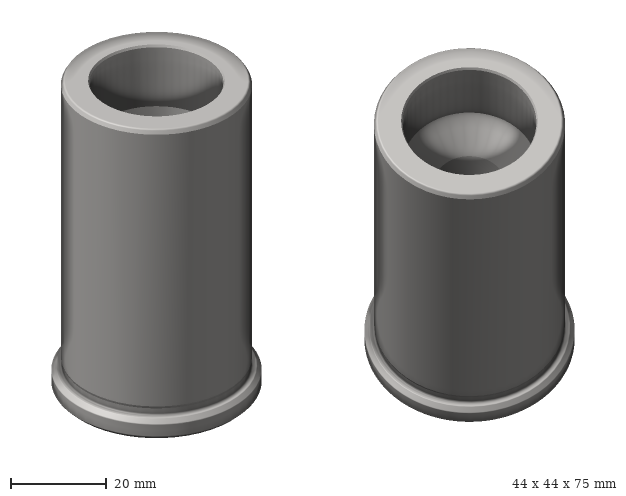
import cadquery as cq
import math

total_height = 75.0
body_radius = 40.0 / 2

flange_radius = 44.0 / 2
flange_height = 5.0
flange_chamfer = 1.0
flange_rounding = 0.3

lead_in_height = 1.0
lead_in_angle = math.radians(30)
lead_in_rounding = 0.5

undercut_radius = 39.7 / 2
undercut_fillet = 0.4
undercut_top = 7.2
undercut_taper_angle = math.radians(15)

bore_radius = 28.0 / 2
bore_depth = 15.0
bore_chamfer_width = 0.3
bore_chamfer_angle = math.radians(30)
bore_chamfer_height = bore_chamfer_width / math.tan(bore_chamfer_angle)
throat_radius = 15.0 / 2
hole_radius = 8.0 / 2
upper_cone_slope = math.radians(45)
lower_cone_slope = math.radians(60)


def make_flange():
    """Disc with bevelled rims whose two bevel corners are rounded."""
    blank = (
        cq.Workplane("XZ")
        .moveTo(0, 0)
        .lineTo(flange_radius - flange_chamfer, 0)
        .lineTo(flange_radius, flange_chamfer)
        .lineTo(flange_radius, flange_height - flange_chamfer)
        .lineTo(flange_radius - flange_chamfer, flange_height)
        .lineTo(0, flange_height)
        .close()
        .revolve(360, (0, 0), (0, 1))
    )
    return blank.edges("%CIRCLE").fillet(flange_rounding)


def make_body():
    """Cylinder with the undercut above the flange and the lead-in at the top."""
    taper_height = (body_radius - undercut_radius) / math.tan(undercut_taper_angle)
    lead_in_tip_radius = body_radius - lead_in_height * math.tan(lead_in_angle)
    fillet_sag = undercut_fillet * (1 - math.sqrt(0.5))
    blank = (
        cq.Workplane("XZ")
        .moveTo(0, flange_height)
        .lineTo(undercut_radius + undercut_fillet, flange_height)
        .threePointArc(
            (undercut_radius + fillet_sag, flange_height + fillet_sag),
            (undercut_radius, flange_height + undercut_fillet),
        )
        .lineTo(undercut_radius, undercut_top - taper_height)
        .lineTo(body_radius, undercut_top)
        .lineTo(body_radius, total_height - lead_in_height)
        .lineTo(lead_in_tip_radius, total_height)
        .lineTo(0, total_height)
        .close()
        .revolve(360, (0, 0), (0, 1))
    )
    return blank.faces(">Z").edges().fillet(lead_in_rounding)


def make_bore():
    """Volume removed along the axis, from the through hole up to the open end."""
    bore_floor = total_height - bore_depth
    throat_height = bore_floor - (bore_radius - throat_radius) * math.tan(upper_cone_slope)
    hole_top = throat_height - (throat_radius - hole_radius) * math.tan(lower_cone_slope)
    return (
        cq.Workplane("XZ")
        .moveTo(0, 0)
        .lineTo(hole_radius, 0)
        .lineTo(hole_radius, hole_top)
        .lineTo(throat_radius, throat_height)
        .lineTo(bore_radius, bore_floor)
        .lineTo(bore_radius, total_height - bore_chamfer_height)
        .lineTo(bore_radius + bore_chamfer_width, total_height)
        .lineTo(0, total_height)
        .close()
        .revolve(360, (0, 0), (0, 1))
    )


result = make_flange().union(make_body()).cut(make_bore())